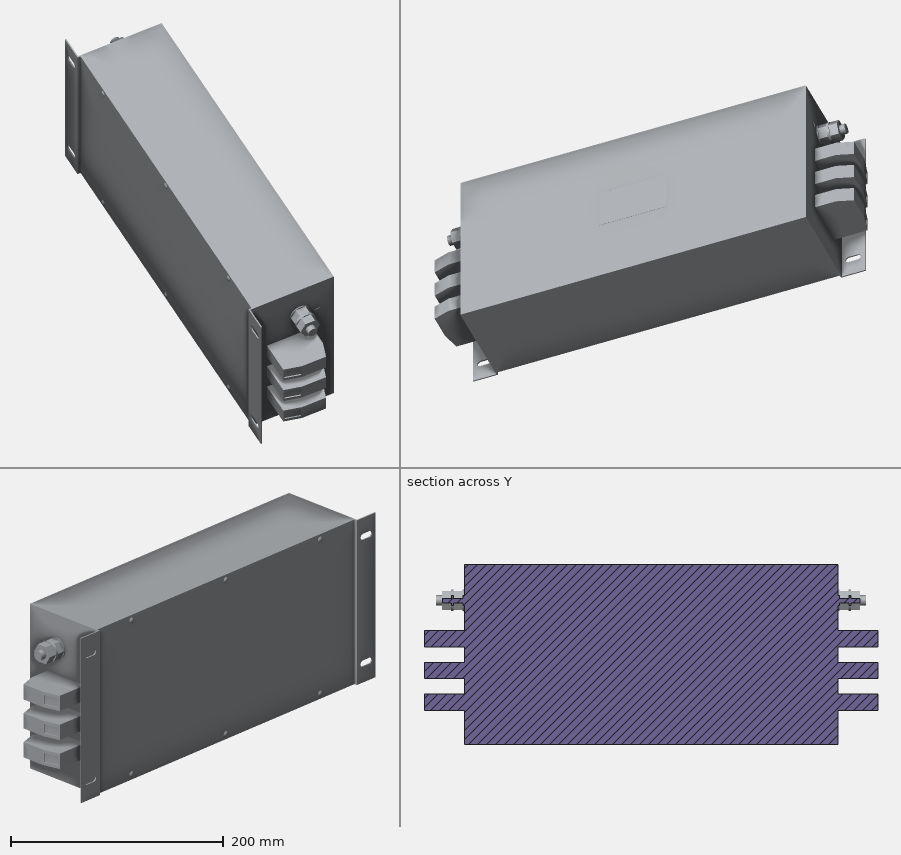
import cadquery as cq
import math

overall_length = 427.0

housing_length = 352.0
housing_depth = 86.5
housing_height = 170.0
end_face_x = housing_length / 2

flange_front_y = -3.2
sheet_thickness = 1.3
flange_tip_x = 200.0
slot_length = 15.5
slot_width = 6.5
slot_x = 187.5
slot_z = 65.5

screw_diameter = 6.0
screw_head_height = 1.3
screw_pitch_x = 128.0
screw_z = 79.5

terminal_reach = (overall_length - housing_length) / 2
terminal_front_y = 16.0
terminal_back_y = 64.0
terminal_height = 16.0
terminal_pitch = 30.0
terminal_middle_z = -terminal_pitch / 2
back_bevel_width = 5.0
back_bevel_start = 21.5
front_bevel_depth = 4.3
front_bevel_width = 18.0
window_length = 16.2
window_height = 9.5
window_depth = 1.3

stud_y = 51.0
stud_z = 51.0
stud_diameter = 10.0
stud_reach = 26.5
nut_across_corners = 20.5
nut_thickness = 8.5
washer_diameter = 20.5
base_washer_thickness = 1.3
outer_washer_thickness = 2.5

marker_y = 68.7
marker_diameter = 7.0
marker_depth = 0.5

nameplate_thickness = 0.2
nameplate_height = 41.0
nameplate_length = 68.5


def box_between(x_range, y_range, z_range):
    """Box spanning the given (low, high) range on each axis."""
    spans = [high - low for low, high in (x_range, y_range, z_range)]
    corner = (x_range[0], y_range[0], z_range[0])
    return cq.Workplane("XY").box(*spans, centered=False).translate(corner)


def on_end_face(y, z, height_above=0.0):
    """Workplane on the +X end face, facing outward, at the given Y and Z."""
    return cq.Workplane("YZ", origin=(end_face_x + height_above, y, z))


def bracket():
    """L-shaped bracket on the +X end, with two mounting slots."""
    half_height = housing_height / 2
    leg_inner_x = end_face_x - sheet_thickness
    z_range = (-half_height, half_height)
    leg = box_between((leg_inner_x, end_face_x), (flange_front_y, 0), z_range)
    flange_y_range = (flange_front_y, flange_front_y + sheet_thickness)
    flange = box_between((leg_inner_x, flange_tip_x), flange_y_range, z_range)
    slots = (
        cq.Workplane("XZ", origin=(0, flange_y_range[1], 0))
        .pushPoints([(slot_x, slot_z), (slot_x, -slot_z)])
        .slot2D(slot_length, slot_width)
        .extrude(sheet_thickness)
    )
    return leg.union(flange).cut(slots)


def terminal(z):
    """Terminal block on the +X end, with a shallow window in its front bevel."""
    tip_x = end_face_x + terminal_reach
    bevel_top = (tip_x, terminal_front_y + front_bevel_width)
    bevel_bottom = (tip_x - front_bevel_depth, terminal_front_y)
    outline = [
        (end_face_x, terminal_front_y),
        bevel_bottom,
        bevel_top,
        (tip_x, terminal_back_y - back_bevel_width),
        (end_face_x + back_bevel_start, terminal_back_y),
        (end_face_x, terminal_back_y),
    ]
    block = (
        cq.Workplane("XY", origin=(0, 0, z))
        .polyline(outline)
        .close()
        .extrude(terminal_height / 2, both=True)
    )
    bevel_angle = math.degrees(math.atan2(front_bevel_depth, front_bevel_width))
    bevel_centre_x = (bevel_top[0] + bevel_bottom[0]) / 2
    bevel_centre_y = (bevel_top[1] + bevel_bottom[1]) / 2
    window = (
        cq.Workplane("XY")
        .box(2 * window_depth, window_length, window_height)
        .rotate((0, 0, 0), (0, 0, 1), -bevel_angle)
        .translate((bevel_centre_x, bevel_centre_y, z))
    )
    return block.cut(window)


def earth_stud():
    """Stud on the +X end carrying a washer and a nut, twice over."""
    stud = on_end_face(stud_y, stud_z).circle(stud_diameter / 2).extrude(stud_reach)
    base = 0
    for washer_thickness in (base_washer_thickness, outer_washer_thickness):
        washer = (
            on_end_face(stud_y, stud_z, base)
            .circle(washer_diameter / 2)
            .extrude(washer_thickness)
        )
        nut = (
            on_end_face(stud_y, stud_z, base + washer_thickness)
            .polygon(6, nut_across_corners)
            .extrude(nut_thickness)
        )
        stud = stud.union(washer).union(nut)
        base += washer_thickness + nut_thickness
    return stud


def end_fittings():
    """Everything that stands out from the +X end of the housing."""
    fittings = [bracket(), earth_stud()]
    for row in (-1, 0, 1):
        fittings.append(terminal(terminal_middle_z + row * terminal_pitch))
    return fittings


def marker_recess():
    """Shallow round cut into the +X end face, level with the stud."""
    return on_end_face(marker_y, stud_z).circle(marker_diameter / 2).extrude(-marker_depth)


def cover_screw(x, z):
    """Domed screw head standing on the front face: the cap of a sphere."""
    rim_radius = screw_diameter / 2
    sphere_radius = (rim_radius**2 + screw_head_height**2) / (2 * screw_head_height)
    half_profile = (
        cq.Workplane("XY")
        .lineTo(rim_radius, 0)
        .radiusArc((0, -screw_head_height), sphere_radius)
        .close()
    )
    return half_profile.revolve(360, (0, 0, 0), (0, 1, 0)).translate((x, 0, z))


def nameplate():
    """Thin plate at the middle of the back face."""
    return box_between(
        (-nameplate_length / 2, nameplate_length / 2),
        (housing_depth, housing_depth + nameplate_thickness),
        (-nameplate_height / 2, nameplate_height / 2),
    )


result = box_between(
    (-end_face_x, end_face_x),
    (0, housing_depth),
    (-housing_height / 2, housing_height / 2),
)

for fitting in end_fittings():
    result = result.union(fitting).union(fitting.mirror("YZ"))

recess = marker_recess()
result = result.cut(recess).cut(recess.mirror("YZ"))

for column in (-1, 0, 1):
    for side in (-1, 1):
        result = result.union(cover_screw(column * screw_pitch_x, side * screw_z))

result = result.union(nameplate())